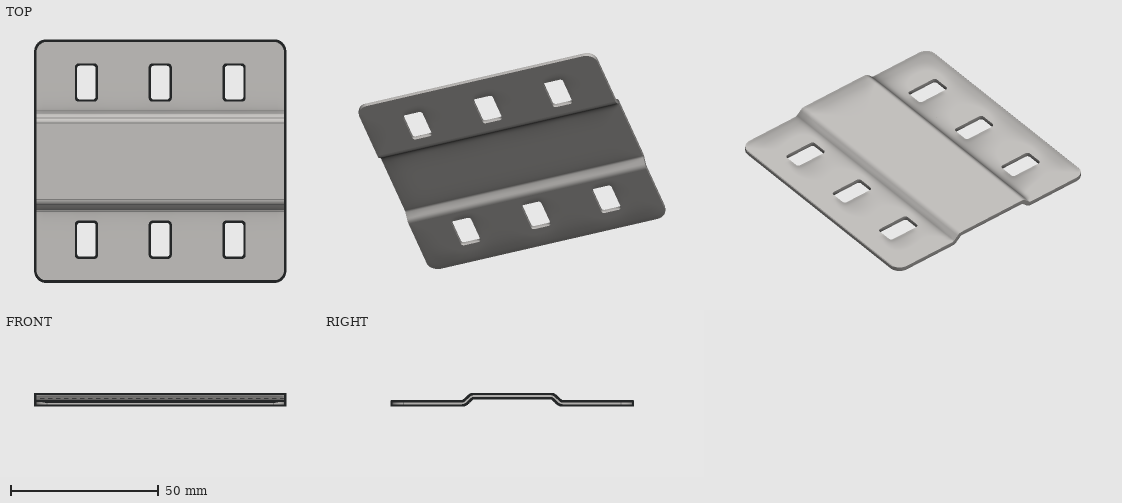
import cadquery as cq
import math

length = 85.0
width = 82.0
thickness = 1.5
total_height = 4.0
rise = total_height - thickness
corner_radius = 4.0
edge_chamfer = 0.25

bend_angle = math.radians(43.0)
inner_bend_radius = 1.0
outer_bend_radius = inner_bend_radius + thickness
band_top_half_width = 13.0

slot_length = 12.15
slot_width = 7.0
slot_corner_radius = 1.0
slot_pitch = 25.1
slots_per_row = 3
slot_row_offset = 26.7

half_angle_tangent = math.tan(bend_angle / 2)
band_corner_y = band_top_half_width + (outer_bend_radius - thickness / 2) * half_angle_tangent
flange_corner_y = band_corner_y + rise / math.tan(bend_angle)

face_shift = thickness / 2 * half_angle_tangent

flange_upper_corner = (flange_corner_y + face_shift, thickness)
band_upper_corner = (band_corner_y + face_shift, total_height)
band_lower_corner = (band_corner_y - face_shift, rise)
flange_lower_corner = (flange_corner_y - face_shift, 0)


def mirrored(points):
    """The same points on the -Y side, in reverse order."""
    return [(-y, z) for y, z in reversed(points)]


def edges_along_x(solid, y, z):
    """The edges along X that pass through (y, z) and (-y, z)."""
    reach = 0.01
    picked = solid.newObject([])
    for side_y in (y, -y):
        box = cq.selectors.BoxSelector(
            (-reach, side_y - reach, z - reach), (reach, side_y + reach, z + reach)
        )
        picked = picked.add(solid.edges(box))
    return picked


def bent_sheet():
    """Profile of constant thickness with chamfered ends, extruded along X and rounded at the bends."""
    half_width = width / 2
    upper = [
        (half_width, thickness - edge_chamfer),
        (half_width - edge_chamfer, thickness),
        flange_upper_corner,
        band_upper_corner,
    ]
    lower = [band_lower_corner, flange_lower_corner, (half_width, 0)]
    outline = upper + mirrored(upper) + mirrored(lower) + lower
    sheet = cq.Workplane("YZ").polyline(outline).close().extrude(length / 2, both=True)

    for corner in (flange_upper_corner, band_lower_corner):
        sheet = edges_along_x(sheet, *corner).fillet(inner_bend_radius)
    for corner in (band_upper_corner, flange_lower_corner):
        sheet = edges_along_x(sheet, *corner).fillet(outer_bend_radius)
    return sheet


def rounded_block():
    """Block with the plate's round-cornered plan outline."""
    block = cq.Workplane("XY").rect(length, width).extrude(total_height)
    return block.edges("|Z").fillet(corner_radius)


def slot_cutters():
    """The two rows of round-cornered slots."""
    cutters = (
        cq.Workplane("XY")
        .rarray(slot_pitch, 2 * slot_row_offset, slots_per_row, 2)
        .rect(slot_width, slot_length)
        .extrude(thickness)
    )
    return cutters.edges("|Z").fillet(slot_corner_radius)


result = bent_sheet().intersect(rounded_block()).cut(slot_cutters())